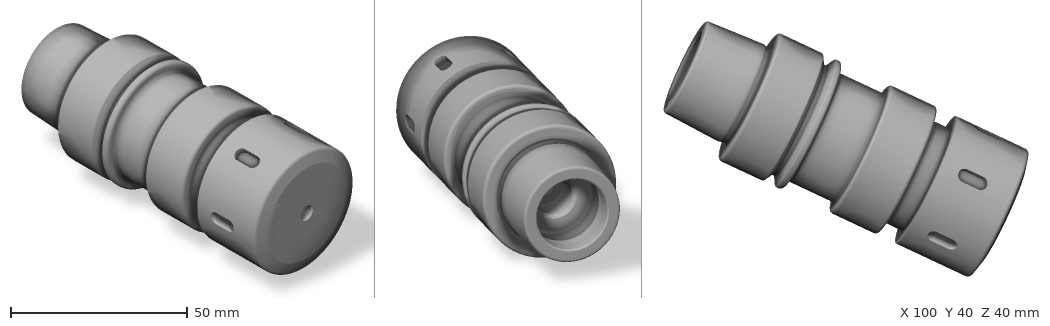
import cadquery as cq
import math

OUTER_DIAMETER = 40.0
OUTER_RADIUS = OUTER_DIAMETER / 2
LENGTH = 100.0
EDGE_RADIUS = 1.0
COOLANT_DIAMETER = 5.0

SHANK_TIP_FILLET = 0.8
SHANK_LENGTH = 20.0
SHANK_DIAMETER = 30.5
TAPER_RATIO = 10.0
TAPER_END = 17.8
SHANK_RADIUS = SHANK_DIAMETER / 2
SHANK_TIP_RADIUS = SHANK_RADIUS - TAPER_END / TAPER_RATIO / 2
RELIEF_DIAMETER = 29.8
RELIEF_RADIUS = RELIEF_DIAMETER / 2
RELIEF_START = 18.7
UNDERCUT_DIAMETER = 32.2
UNDERCUT_START = 19.7
UNDERCUT_RADIUS = 0.6
UNDERCUT_DEPTH = 0.3

GROOVE_CENTRE = 36.0
GROOVE_DIAMETER = 34.6
GROOVE_RADIUS = GROOVE_DIAMETER / 2
GROOVE_WIDTH = 1.3
GROOVE_MOUTH = 4.1
GROOVE_FLANK_ANGLE = 30.0
GROOVE_LIP_FILLET = 0.6
RING_END = 40.0

NECK_RADIUS = 17.0
COLLAR_START = 55.0
COLLAR_END = 70.0
THREAD_DIAMETER = 32.0
THREAD_RADIUS = THREAD_DIAMETER / 2
THREAD_START = 72.0
THREAD_CHAMFER = 0.05
THREAD_ROOT_RADIUS = THREAD_RADIUS - THREAD_CHAMFER
THREAD_ROOT_FILLET = 0.6

BORE_DIAMETER = 21.0
BORE_MOUTH_DIAMETER = 22.0
BORE_LIP_DEPTH = 8.0
CHAMBER_DIAMETER = 21.8
CHAMBER_FILLET = 1.0
BORE_DEPTH = 15.5
TUBE_DIAMETER = 11.0
TUBE_MOUTH_DIAMETER = 13.0
TUBE_DEPTH = 10.0
COOLANT_CHAMFER = 0.4

NUT_START = 76.0
NUT_WALL = 4.0
NUT_FACE_ANGLE = 15.0
NUT_FACE_RADIUS = 15.8
PAD_HEIGHT = 0.1
PAD_OUTER_RADIUS = 15.2
PAD_INNER_RADIUS = 14.2
PAD_SPAN = 17.2
NUT_FACE = LENGTH - PAD_HEIGHT
THREAD_END = LENGTH - NUT_WALL
SLOT_COUNT = 6
SLOT_LENGTH = 9.0
SLOT_WIDTH = 4.0
SLOT_CENTRE = 86.0
SLOT_FLOOR_RADIUS = 17.6


def revolve_about_x(outline):
    """Close an outline drawn as (x, radius) and turn it about the X axis."""
    return outline.close().revolve(360, (0, 0, 0), (1, 0, 0))


def round_edges(body, places, radius):
    """Round the circular edges that lie at the given (x, radius) places."""
    for x, edge_radius in places:
        tolerance = 0.01
        reach = edge_radius + tolerance
        ring = cq.selectors.BoxSelector(
            (x - tolerance, -reach, -reach), (x + tolerance, reach, reach), boundingbox=True
        )
        matches = [e for e in body.edges(ring).vals() if abs(e.radius() - edge_radius) < tolerance]
        body = body.newObject(matches).fillet(radius)
    return body


def holder_blank():
    """Outside of the holder, solid inside."""
    flank_run = (GROOVE_MOUTH - GROOVE_WIDTH) / 2
    flank_radius = OUTER_RADIUS - flank_run / math.tan(math.radians(GROOVE_FLANK_ANGLE))
    flange_end = GROOVE_CENTRE - GROOVE_MOUTH / 2
    ring_start = GROOVE_CENTRE + GROOVE_MOUTH / 2
    groove_start = GROOVE_CENTRE - GROOVE_WIDTH / 2
    groove_end = GROOVE_CENTRE + GROOVE_WIDTH / 2
    root_bulge = UNDERCUT_RADIUS * math.sqrt(0.5)
    outline = (
        cq.Workplane("XY")
        .lineTo(0, SHANK_TIP_RADIUS)
        .lineTo(TAPER_END, SHANK_RADIUS)
        .lineTo(RELIEF_START, RELIEF_RADIUS)
        .lineTo(UNDERCUT_START, RELIEF_RADIUS)
        .threePointArc(
            (UNDERCUT_START + root_bulge, RELIEF_RADIUS + UNDERCUT_RADIUS - root_bulge),
            (SHANK_LENGTH + UNDERCUT_DEPTH, RELIEF_RADIUS + UNDERCUT_RADIUS),
        )
        .lineTo(SHANK_LENGTH, UNDERCUT_DIAMETER / 2)
        .lineTo(SHANK_LENGTH, OUTER_RADIUS)
        .lineTo(flange_end, OUTER_RADIUS)
        .lineTo(groove_start, flank_radius)
        .lineTo(groove_start, GROOVE_RADIUS)
        .lineTo(groove_end, GROOVE_RADIUS)
        .lineTo(groove_end, flank_radius)
        .lineTo(ring_start, OUTER_RADIUS)
        .lineTo(RING_END, OUTER_RADIUS)
        .lineTo(RING_END, NECK_RADIUS)
        .lineTo(COLLAR_START, NECK_RADIUS)
        .lineTo(COLLAR_START, OUTER_RADIUS)
        .lineTo(COLLAR_END, OUTER_RADIUS)
        .lineTo(COLLAR_END, THREAD_ROOT_RADIUS)
        .lineTo(THREAD_START - THREAD_CHAMFER, THREAD_ROOT_RADIUS)
        .lineTo(THREAD_START, THREAD_RADIUS)
        .lineTo(THREAD_END, THREAD_RADIUS)
        .lineTo(THREAD_END, 0)
    )
    rounded_corners = [
        (SHANK_LENGTH, OUTER_RADIUS),
        (RING_END, OUTER_RADIUS),
        (RING_END, NECK_RADIUS),
        (COLLAR_START, NECK_RADIUS),
        (COLLAR_START, OUTER_RADIUS),
        (COLLAR_END, OUTER_RADIUS),
    ]
    groove_lips = [(flange_end, OUTER_RADIUS), (ring_start, OUTER_RADIUS)]
    blank = round_edges(revolve_about_x(outline), rounded_corners, EDGE_RADIUS)
    blank = round_edges(blank, [(0, SHANK_TIP_RADIUS)], SHANK_TIP_FILLET)
    blank = round_edges(blank, groove_lips, GROOVE_LIP_FILLET)
    return round_edges(blank, [(COLLAR_END, THREAD_ROOT_RADIUS)], THREAD_ROOT_FILLET)


def holder_bore():
    """Stepped and chamfered bore from the shank end to the coolant hole."""
    bore_radius = BORE_DIAMETER / 2
    mouth_radius = BORE_MOUTH_DIAMETER / 2
    chamber_radius = CHAMBER_DIAMETER / 2
    fillet_start = BORE_DEPTH - CHAMBER_FILLET
    floor_radius = chamber_radius - CHAMBER_FILLET
    fillet_reach = CHAMBER_FILLET * math.sqrt(0.5)
    tube_radius = TUBE_DIAMETER / 2
    tube_mouth_radius = TUBE_MOUTH_DIAMETER / 2
    coolant_radius = COOLANT_DIAMETER / 2
    tube_end = BORE_DEPTH + TUBE_DEPTH
    outline = (
        cq.Workplane("XY")
        .lineTo(0, mouth_radius)
        .lineTo(mouth_radius - bore_radius, bore_radius)
        .lineTo(BORE_LIP_DEPTH, bore_radius)
        .lineTo(BORE_LIP_DEPTH, chamber_radius)
        .lineTo(fillet_start, chamber_radius)
        .threePointArc(
            (fillet_start + fillet_reach, floor_radius + fillet_reach), (BORE_DEPTH, floor_radius)
        )
        .lineTo(BORE_DEPTH, tube_mouth_radius)
        .lineTo(BORE_DEPTH + tube_mouth_radius - tube_radius, tube_radius)
        .lineTo(tube_end, tube_radius)
        .lineTo(tube_end, coolant_radius + COOLANT_CHAMFER)
        .lineTo(tube_end + COOLANT_CHAMFER, coolant_radius)
        .lineTo(THREAD_END, coolant_radius)
        .lineTo(THREAD_END, 0)
    )
    return revolve_about_x(outline)


def make_holder():
    return holder_blank().cut(holder_bore())


def spanner_slot(angle):
    """Flat-bottomed radial slot along X, turned about the axis from the -Y side."""
    return (
        cq.Workplane("XZ", origin=(SLOT_CENTRE, -SLOT_FLOOR_RADIUS, 0))
        .slot2D(SLOT_LENGTH, SLOT_WIDTH)
        .extrude(OUTER_RADIUS)
        .rotate((0, 0, 0), (1, 0, 0), angle)
    )


def face_pad():
    """Low arc-shaped pad, centred on the -Y side of the nut's end face."""
    face = cq.Workplane("YZ", origin=(NUT_FACE, 0, 0))
    ring = face.circle(PAD_OUTER_RADIUS).circle(PAD_INNER_RADIUS).extrude(PAD_HEIGHT)
    side = face.center(-OUTER_RADIUS / 2, 0).rect(OUTER_RADIUS, PAD_SPAN).extrude(PAD_HEIGHT)
    return ring.intersect(side)


def make_nut():
    cone_length = (OUTER_RADIUS - NUT_FACE_RADIUS) * math.tan(math.radians(NUT_FACE_ANGLE))
    shoulder = NUT_FACE - cone_length
    coolant_radius = COOLANT_DIAMETER / 2
    outline = (
        cq.Workplane("XY")
        .moveTo(NUT_START, THREAD_RADIUS)
        .lineTo(NUT_START, OUTER_RADIUS)
        .lineTo(shoulder, OUTER_RADIUS)
        .lineTo(NUT_FACE, NUT_FACE_RADIUS)
        .lineTo(NUT_FACE, coolant_radius)
        .lineTo(THREAD_END, coolant_radius)
        .lineTo(THREAD_END, THREAD_RADIUS)
    )
    nut = round_edges(revolve_about_x(outline), [(shoulder, OUTER_RADIUS)], EDGE_RADIUS)
    for index in range(SLOT_COUNT):
        nut = nut.cut(spanner_slot(index * 360 / SLOT_COUNT))
    return nut.union(face_pad())


holder = make_holder()
nut = make_nut()

result = cq.Compound.makeCompound([holder.val(), nut.val()])